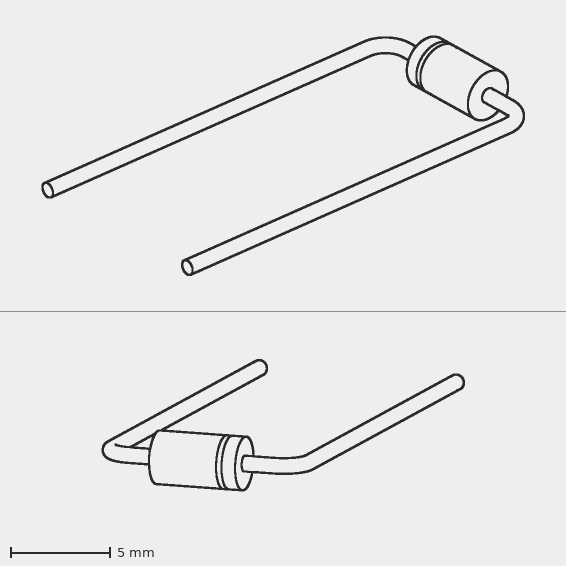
import cadquery as cq

OVERALL_WIDTH = 11.38
OVERALL_DEPTH = 24.35

BODY_DIAMETER = 2.73
BODY_LENGTH = 4.63

BAND_WIDTH = 0.3
BAND_THICKNESS = 0.07
BAND_OFFSET = 0.73

LEAD_DIAMETER = 0.8
BEND_RADIUS = 1.36

body_radius = BODY_DIAMETER / 2
body_end = BODY_LENGTH / 2
band_start = BAND_OFFSET - body_end
leg_x = (OVERALL_WIDTH - LEAD_DIAMETER) / 2
leg_end_y = body_radius - OVERALL_DEPTH


def make_band():
    """Thin polarity ring, flush with the outside of the body."""
    return (
        cq.Workplane("YZ", origin=(band_start, 0, 0))
        .circle(body_radius)
        .circle(body_radius - BAND_THICKNESS)
        .extrude(BAND_WIDTH)
    )


def make_body(band):
    """Cylindrical body with a groove that holds the band."""
    cylinder = cq.Workplane("YZ", origin=(-body_end, 0, 0)).circle(body_radius).extrude(BODY_LENGTH)
    return cylinder.cut(band)


def make_lead(side):
    """Round wire from one end face of the body; side is -1 for -X and +1 for +X."""
    path = (
        cq.Workplane("XY")
        .moveTo(side * body_end, 0)
        .lineTo(side * (leg_x - BEND_RADIUS), 0)
        .tangentArcPoint((side * leg_x, -BEND_RADIUS), relative=False)
        .lineTo(side * leg_x, leg_end_y)
    )
    return cq.Workplane("YZ", origin=(side * body_end, 0, 0)).circle(LEAD_DIAMETER / 2).sweep(path)


band = make_band()
body = make_body(band)
leads = [make_lead(side) for side in (-1, 1)]

result = cq.Compound.makeCompound([body.val(), band.val(), *[lead.val() for lead in leads]])